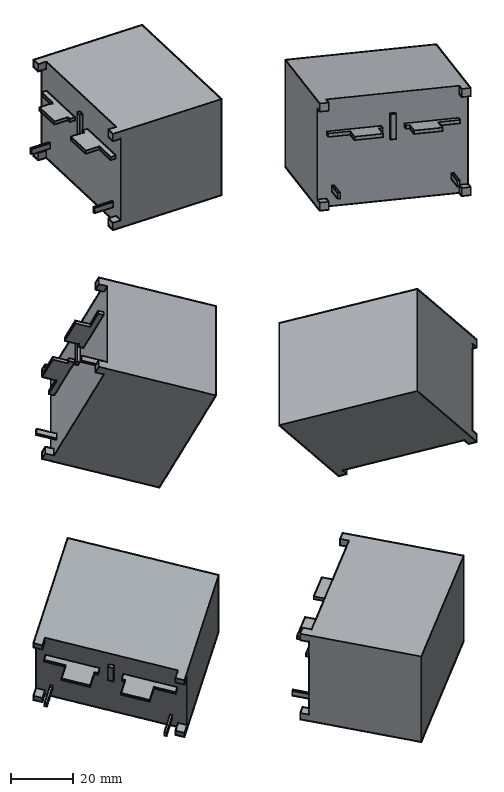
import cadquery as cq

WIDTH = 50.5
HEIGHT = 37.0
DEPTH = 37.5

FOOT_WIDTH = 3.05
FOOT_HEIGHT = 2.85
FOOT_LENGTH = 3.0

TERMINAL_REACH = 6.95
TERMINAL_Z = 25.35
TERMINAL_THICKNESS = 1.2
SHOULDER_WIDTH = 18.1
SHOULDER_LENGTH = 1.9
SHOULDER_X = 13.0
BLADE_WIDTH = 9.6
BLADE_X = 9.95

PIN_WIDTH = 0.8
PIN_HEIGHT = 2.0
PIN_X = 20.0
PIN_Z = 6.1

RIB_WIDTH = 1.8
RIB_HEIGHT = 8.75
RIB_LENGTH = 1.0
RIB_Z = 25.6


def projection(x, z, width, height, length):
    """Block centred at (x, z), standing out of the mounting face towards -Y."""
    return cq.Workplane("XY").box(width, length, height).translate((x, -length / 2, z))


def housing():
    return cq.Workplane("XY").box(WIDTH, DEPTH, HEIGHT).translate((0, DEPTH / 2, HEIGHT / 2))


def feet(side):
    x = side * (WIDTH - FOOT_WIDTH) / 2
    lower_z = FOOT_HEIGHT / 2
    lower = projection(x, lower_z, FOOT_WIDTH, FOOT_HEIGHT, FOOT_LENGTH)
    upper = projection(x, HEIGHT - lower_z, FOOT_WIDTH, FOOT_HEIGHT, FOOT_LENGTH)
    return lower.add(upper)


def terminal(side):
    shoulder = projection(
        side * SHOULDER_X, TERMINAL_Z, SHOULDER_WIDTH, TERMINAL_THICKNESS, SHOULDER_LENGTH
    )
    blade = projection(side * BLADE_X, TERMINAL_Z, BLADE_WIDTH, TERMINAL_THICKNESS, TERMINAL_REACH)
    return shoulder.union(blade)


def coil_pin(side):
    return projection(side * PIN_X, PIN_Z, PIN_WIDTH, PIN_HEIGHT, TERMINAL_REACH)


result = housing().union(projection(0, RIB_Z, RIB_WIDTH, RIB_HEIGHT, RIB_LENGTH))
for side in (-1, 1):
    result = result.union(feet(side)).union(terminal(side)).union(coil_pin(side))